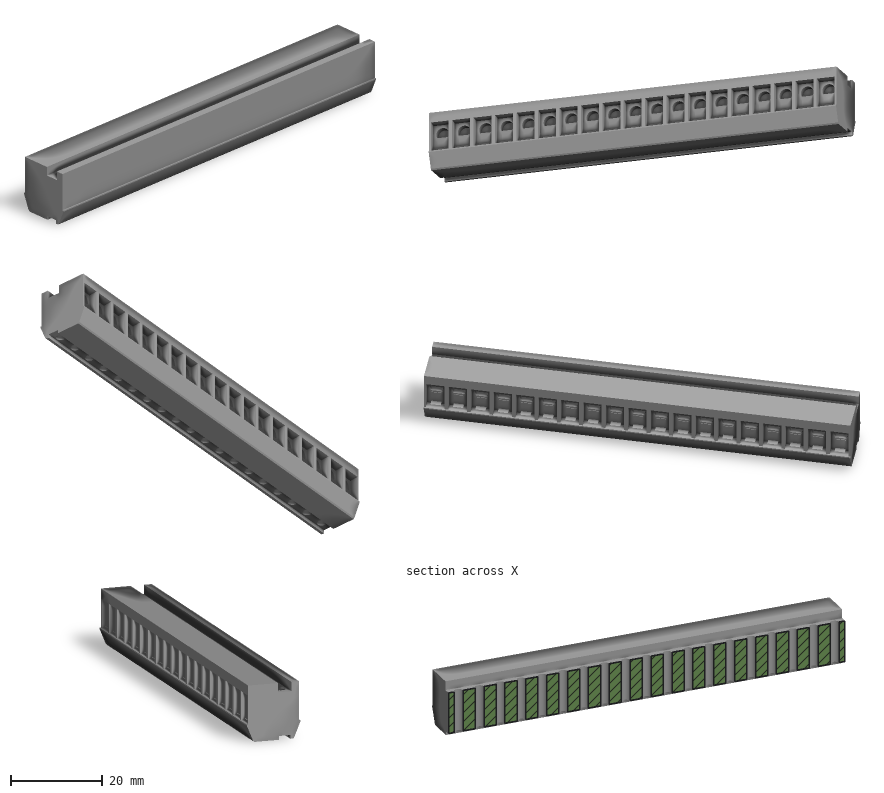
import cadquery as cq
import math

length = 95.0
width = 12.4
height = 12.8
poles = 19
pitch = length / poles

lip = 0.3
lip_top = 4.0
lip_bottom = 3.7
foot_inset = 1.4
foot_chamfer = 0.3
slot_centre = 2.6
slot_width = 3.1
slot_depth = 2.1
groove_width = 2.7
groove_depth = 0.9

screw_hole_diameter = 2.0

rib = 0.81
window_bottom = lip_top
window_top = 10.4
window_depth = 1.7
ceiling_rise = 0.2
back_lean = 3
step_height = 0.6
bore_diameter = 2.9
bore_height = 8.2
bore_flat = 0.8
bore_depth = 1.4
clamp_width = 2.3
clamp_top = 7.0
ledge_reach = 1.2

body_face = -width / 2 + lip
window_back = body_face + window_depth
step_top = window_bottom + step_height


def box(x_range, y_range, z_range):
    """Box between the given limits along X, Y and Z."""
    sides = [limits[1] - limits[0] for limits in (x_range, y_range, z_range)]
    corner = (x_range[0], y_range[0], z_range[0])
    return cq.Workplane("XY").box(*sides, centered=False).translate(corner)


def prism(outline, span):
    """Prism with the given X-Z outline, centred on Y = 0."""
    return cq.Workplane("XZ").polyline(outline).close().extrude(span / 2, both=True)


def make_body():
    half = width / 2
    flank = [
        (half - foot_inset - foot_chamfer, 0),
        (half - foot_inset, foot_chamfer),
        (half, lip_bottom),
        (half, lip_top),
        (half - lip, lip_top),
        (half - lip, height),
    ]
    mirrored_flank = [(-x, z) for x, z in reversed(flank)]
    return prism(flank + mirrored_flank, length)


def make_lengthwise_channel(channel_width, z_range):
    x_range = (slot_centre - channel_width / 2, slot_centre + channel_width / 2)
    return box(x_range, (-length / 2, length / 2), z_range)


def back_at(z):
    """X of the leaning window back at height z."""
    return window_back + (z - step_top) * math.tan(math.radians(back_lean))


def make_window():
    """Window of one pole, with its back upright at the foot and leaning above."""
    outline = [
        (body_face, window_bottom),
        (window_back, window_bottom),
        (window_back, step_top),
        (back_at(window_top), window_top),
        (body_face, window_top + ceiling_rise),
    ]
    return prism(outline, pitch - rib)


def make_clamp():
    """Upright clamp plate in the window, with an undercut ledge at its foot."""
    plate = box(
        (window_back, back_at(window_top)),
        (-clamp_width / 2, clamp_width / 2),
        (window_bottom, clamp_top),
    )
    ledge = [
        (window_back, window_bottom),
        (window_back, step_top),
        (window_back - ledge_reach, step_top),
    ]
    return plate.union(prism(ledge, clamp_width))


def make_bore():
    """D-shaped blind wire bore, square to the leaning window back."""
    radius = bore_diameter / 2
    cylinder = cq.Workplane("YZ").circle(radius).extrude(bore_depth)
    above_flat = box((0, bore_depth), (-radius, radius), (-bore_flat, radius))
    bore = cylinder.intersect(above_flat).rotate((0, 0, 0), (0, 1, 0), back_lean)
    return bore.translate((back_at(bore_height), 0, bore_height))


result = make_body()
result = result.cut(make_lengthwise_channel(slot_width, (height - slot_depth, height)))
result = result.cut(make_lengthwise_channel(groove_width, (0, groove_depth)))

wire_entry = make_window().cut(make_clamp()).union(make_bore())
screw_hole = cq.Workplane("XY").center(slot_centre, 0).circle(screw_hole_diameter / 2).extrude(height)
for pole in range(poles):
    pole_y = (pole - (poles - 1) / 2) * pitch
    result = result.cut(wire_entry.translate((0, pole_y, 0)))
    result = result.cut(screw_hole.translate((0, pole_y, 0)))